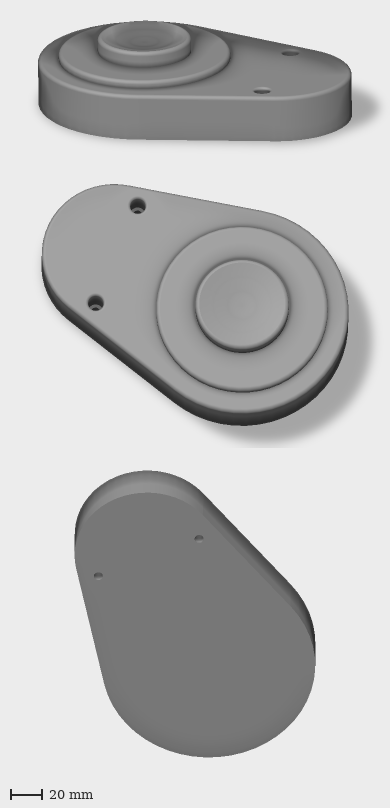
import cadquery as cq
import math

large_end_radius = 68.4
small_end_radius = 46.6
end_spacing = 90.2
body_height = 30.0
edge_fillet = 2.5

disc_radius = 55.0
disc_height = 5.0
knob_radius = 30.0
knob_height = 10.0
dish_radius = knob_radius - edge_fillet
dish_depth = 4.1

hole_centers = [(86.9, 35.3), (90.0, -35.0)]
hole_radius = 2.9
counterbore_radius = 5.0
counterbore_depth = 20.5
mouth_fillet = 1.6

tilt_degrees = 0.6

disc_top = body_height + disc_height
knob_top = disc_top + knob_height


def make_body():
    """Tapered body with a rounded top rim."""
    tangent_cos = (large_end_radius - small_end_radius) / end_spacing
    tangent_sin = math.sqrt(1 - tangent_cos**2)
    large_x = large_end_radius * tangent_cos
    large_y = large_end_radius * tangent_sin
    small_x = end_spacing + small_end_radius * tangent_cos
    small_y = small_end_radius * tangent_sin
    outline = (
        cq.Workplane("XY")
        .moveTo(large_x, large_y)
        .threePointArc((-large_end_radius, 0), (large_x, -large_y))
        .lineTo(small_x, -small_y)
        .threePointArc((end_spacing + small_end_radius, 0), (small_x, small_y))
        .close()
    )
    return outline.extrude(body_height).faces(">Z").edges().fillet(edge_fillet)


def make_round_step(radius, base_z, height):
    """Disc with a rounded top rim."""
    step = cq.Workplane("XY").workplane(offset=base_z).circle(radius).extrude(height)
    return step.faces(">Z").edges().fillet(edge_fillet)


def make_dish_cutter():
    """Sphere that hollows the knob top to the dish depth."""
    sphere_radius = (dish_radius**2 + dish_depth**2) / (2 * dish_depth)
    sphere_z = knob_top - dish_depth + sphere_radius
    return cq.Workplane("XY").sphere(sphere_radius).translate((0, 0, sphere_z))


def make_hole_cutter():
    """Half-section of hole, counterbore and rounded mouth, revolved about Z."""
    mouth_radius = counterbore_radius + mouth_fillet
    arc_offset = mouth_fillet * (1 - math.sqrt(0.5))
    section = (
        cq.Workplane("XZ")
        .lineTo(hole_radius, 0)
        .lineTo(hole_radius, body_height - counterbore_depth)
        .lineTo(counterbore_radius, body_height - counterbore_depth)
        .lineTo(counterbore_radius, body_height - mouth_fillet)
        .threePointArc(
            (counterbore_radius + arc_offset, body_height - arc_offset),
            (mouth_radius, body_height),
        )
        .lineTo(0, body_height)
        .close()
    )
    return section.revolve(360, (0, 0), (0, 1))


part = make_body()
part = part.union(make_round_step(disc_radius, body_height, disc_height))
part = part.union(make_round_step(knob_radius, disc_top, knob_height))
part = part.cut(make_dish_cutter())
hole_cutter = make_hole_cutter()
for hole_x, hole_y in hole_centers:
    part = part.cut(hole_cutter.translate((hole_x, hole_y, 0)))

result = part.rotate((0, 0, 0), (0, 1, 0), -tilt_degrees)